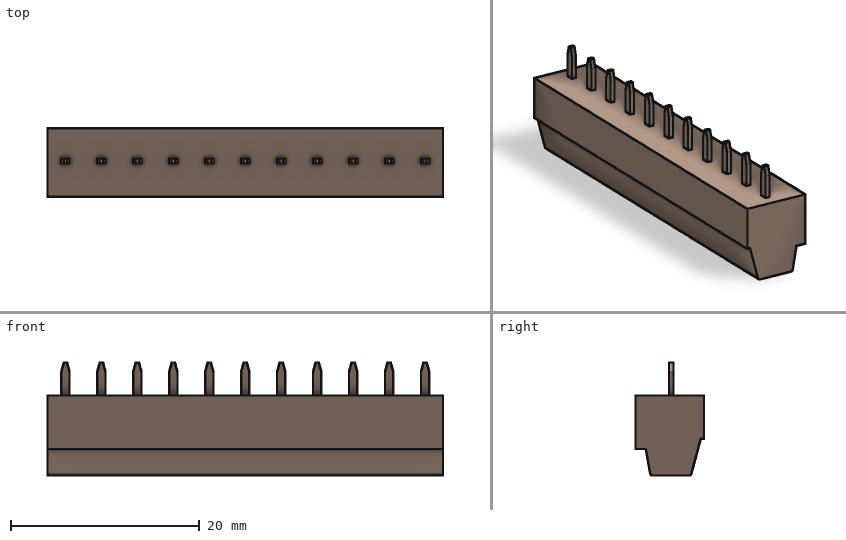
import cadquery as cq

pin_count = 11
pitch = 3.81

housing_length = pin_count * pitch
housing_depth = 7.3
housing_height = 8.5
pin_to_back = 3.5
back_y = pin_to_back
front_y = back_y - housing_depth

back_wall_height = 4.6
front_wall_height = 5.7
back_step = 0.35
front_step = 1.1
back_nose_inset = 1.4
front_nose_inset = 1.6
nose_edge_radius = 0.3

pin_width = 0.9
pin_thickness = 0.5
pin_length = 3.5
tip_width = 0.35
tip_length = 1.0


def make_housing():
    """Extrude the stepped side outline along X and round the two bottom edges."""
    back_step_z = housing_height - back_wall_height
    front_step_z = housing_height - front_wall_height
    outline = [
        (front_y, housing_height),
        (back_y, housing_height),
        (back_y, back_step_z),
        (back_y - back_step, back_step_z),
        (back_y - back_nose_inset, 0),
        (front_y + front_nose_inset, 0),
        (front_y + front_step, front_step_z),
        (front_y, front_step_z),
    ]
    housing = (
        cq.Workplane("YZ")
        .polyline(outline)
        .close()
        .extrude(housing_length / 2, both=True)
    )
    return housing.faces("<Z").edges("|X").fillet(nose_edge_radius)


def make_pin(x):
    """Flat pin standing on the housing at the given X, narrowing to its tip."""
    shoulder_z = pin_length - tip_length
    outline = [
        (-pin_width / 2, 0),
        (pin_width / 2, 0),
        (pin_width / 2, shoulder_z),
        (tip_width / 2, pin_length),
        (-tip_width / 2, pin_length),
        (-pin_width / 2, shoulder_z),
    ]
    pin = (
        cq.Workplane("XZ")
        .polyline(outline)
        .close()
        .extrude(pin_thickness / 2, both=True)
    )
    return pin.translate((x, 0, housing_height))


result = make_housing()
first_pin_x = -(pin_count - 1) * pitch / 2
for index in range(pin_count):
    result = result.union(make_pin(first_pin_x + index * pitch))